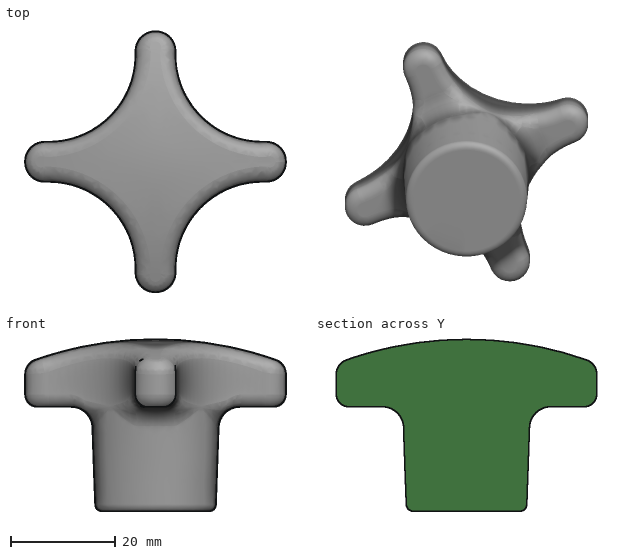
import cadquery as cq
import math

SPAN = 50.0
TOTAL_HEIGHT = 33.0

ARM_COUNT = 4
ARM_HALF_WIDTH = 3.85
TIP_STRAIGHT = 0.75
ARM_UNDERSIDE_Z = 20.0
CROWN_RADIUS = 69.0
TOP_EDGE_RADIUS = 3.0
UNDERSIDE_EDGE_RADIUS = 2.4

HUB_BASE_RADIUS = 11.55
HUB_DRAFT = 2.0
HUB_BASE_EDGE_RADIUS = 1.4
NECK_RADIUS = 4.0
NECK_OVERLAP = 0.003

TIP_CENTRE = SPAN / 2 - ARM_HALF_WIDTH
WAIST_CENTRE = TIP_CENTRE - TIP_STRAIGHT
WAIST_RADIUS = WAIST_CENTRE - ARM_HALF_WIDTH
WAIST_CENTRE_DISTANCE = WAIST_CENTRE * math.sqrt(2)
QUARTER_ANGLE = 2 * math.pi / ARM_COUNT
WAIST_ANGLE = QUARTER_ANGLE / 2

CUTTER_MARGIN = 1.0
PRISM_DEPTH = 7.0
PRISM_BASE_Z = ARM_UNDERSIDE_Z - PRISM_DEPTH
CUTTER_BASE_Z = PRISM_BASE_Z - CUTTER_MARGIN
CUTTER_BASE_RADIUS = HUB_BASE_RADIUS - CUTTER_MARGIN
CUTTER_REACH = SPAN / 2 + CUTTER_MARGIN
LOFT_STEPS = 9

RIM_HEIGHT_TOLERANCE = 0.1
SEAM_TOLERANCE = 0.01


def hub_radius(z):
    return HUB_BASE_RADIUS + z * math.tan(math.radians(HUB_DRAFT))


def neck_centre_radius(z):
    """Distance from the axis to the centre of a neck round centred at height z."""
    return hub_radius(z) - NECK_OVERLAP + NECK_RADIUS


NECK_OUTER_RADIUS = neck_centre_radius(ARM_UNDERSIDE_Z - NECK_RADIUS)


def turned(x, y, quarter):
    """Point (x, y) turned about the Z axis by a number of quarter turns."""
    cos_turn = math.cos(quarter * QUARTER_ANGLE)
    sin_turn = math.sin(quarter * QUARTER_ANGLE)
    return (x * cos_turn - y * sin_turn, x * sin_turn + y * cos_turn)


def star_outline():
    """Closed outline of the four arms, placed at the base of the prism."""
    waist_middle = (WAIST_CENTRE_DISTANCE - WAIST_RADIUS) * math.sqrt(0.5)
    outline = cq.Workplane("XY", origin=(0, 0, PRISM_BASE_Z))
    outline = outline.moveTo(WAIST_CENTRE, -ARM_HALF_WIDTH)
    for quarter in range(ARM_COUNT):
        outline = outline.lineTo(*turned(TIP_CENTRE, -ARM_HALF_WIDTH, quarter))
        outline = outline.threePointArc(
            turned(SPAN / 2, 0, quarter),
            turned(TIP_CENTRE, ARM_HALF_WIDTH, quarter),
        )
        outline = outline.lineTo(*turned(WAIST_CENTRE, ARM_HALF_WIDTH, quarter))
        outline = outline.threePointArc(
            turned(waist_middle, waist_middle, quarter),
            turned(ARM_HALF_WIDTH, WAIST_CENTRE, quarter),
        )
    return outline.close()


def star_prism():
    """Four-armed prism with a crowned top and rounded top edges."""
    prism = star_outline().extrude(TOTAL_HEIGHT - PRISM_BASE_Z)
    crown = cq.Workplane("XY", origin=(0, 0, TOTAL_HEIGHT - CROWN_RADIUS)).sphere(CROWN_RADIUS)
    prism = prism.intersect(crown)
    return prism.faces(">Z").edges().fillet(TOP_EDGE_RADIUS)


def hub():
    """Tapered hub with a rounded base edge."""
    cone = cq.Solid.makeCone(HUB_BASE_RADIUS, hub_radius(ARM_UNDERSIDE_Z), ARM_UNDERSIDE_Z)
    return cq.Workplane("XY").add(cone).faces("<Z").edges().fillet(HUB_BASE_EDGE_RADIUS)


def waist_distance(angle):
    """Distance from the axis to the waist arc, along a ray at this angle from an arm."""
    along = WAIST_CENTRE_DISTANCE * math.cos(WAIST_ANGLE - angle)
    return along - math.sqrt(along**2 - WAIST_CENTRE_DISTANCE**2 + WAIST_RADIUS**2)


def neck_start_angle():
    """Angle from an arm at which the waist arc cuts into the full neck round."""
    cosine = (NECK_OUTER_RADIUS**2 + WAIST_CENTRE_DISTANCE**2 - WAIST_RADIUS**2) / (
        2 * NECK_OUTER_RADIUS * WAIST_CENTRE_DISTANCE
    )
    return WAIST_ANGLE - math.acos(cosine)


def neck_drop(angle):
    """Depth below the underside of the centre of a neck round that ends on the waist edge.

    The round touches the sloping hub and passes through the edge, which gives a
    quadratic equation for the depth.
    """
    slope = math.tan(math.radians(HUB_DRAFT))
    overhang = neck_centre_radius(ARM_UNDERSIDE_Z) - waist_distance(angle)
    square_term = 1 + slope**2
    half_linear_term = overhang * slope
    constant_term = overhang**2 - NECK_RADIUS**2
    root = math.sqrt(half_linear_term**2 - square_term * constant_term)
    return (half_linear_term + root) / square_term


def cutter_profile(angle, drop):
    """Space around the hub and under the arms, in the half plane at this angle."""
    half_plane = cq.Plane(
        origin=(0, 0, 0),
        xDir=(math.cos(angle), math.sin(angle), 0),
        normal=(math.sin(angle), -math.cos(angle), 0),
    )
    centre_z = ARM_UNDERSIDE_Z - drop
    centre_radius = neck_centre_radius(centre_z)
    top_z = centre_z + NECK_RADIUS
    arc_offset = NECK_RADIUS * math.sqrt(0.5)
    return (
        cq.Workplane(half_plane)
        .moveTo(CUTTER_BASE_RADIUS, CUTTER_BASE_Z)
        .lineTo(centre_radius - NECK_RADIUS, centre_z)
        .threePointArc(
            (centre_radius - arc_offset, centre_z + arc_offset),
            (centre_radius, top_z),
        )
        .lineTo(CUTTER_REACH, top_z)
        .lineTo(CUTTER_REACH, CUTTER_BASE_Z)
        .close()
    )


def underside_cutters():
    """Tools for the underside of the +X arm: the flat middle and the two rising sides."""
    start = neck_start_angle()
    middle = cutter_profile(-start, NECK_RADIUS).revolve(
        2 * math.degrees(start), (0, 0, 0), (0, 1, 0)
    )
    sections = []
    for step in range(LOFT_STEPS + 1):
        angle = start + (WAIST_ANGLE - start) * step / LOFT_STEPS
        sections.append(cutter_profile(angle, neck_drop(angle)).val())
    side = cq.Workplane("XY").add(cq.Solid.makeLoft(sections))
    return [middle, side, side.mirror("XZ")]


def carve_underside(body):
    """Shape the flat underside of every arm and the neck round that meets the hub."""
    cutters = underside_cutters()
    for quarter in range(ARM_COUNT):
        turn = math.degrees(quarter * QUARTER_ANGLE)
        for cutter in cutters:
            body = body.cut(cutter.rotate((0, 0, 0), (0, 0, 1), turn))
    return body


def is_lower_rim(edge):
    """True for edges between the side walls and the underside, not for seams or the hub."""
    box = edge.BoundingBox()
    lowest_gap = abs(box.zmin - ARM_UNDERSIDE_Z)
    highest_gap = abs(box.zmax - ARM_UNDERSIDE_Z)
    point = edge.positionAt(0.5)
    distance = math.hypot(point.x, point.y)
    is_level = max(lowest_gap, highest_gap) < RIM_HEIGHT_TOLERANCE
    is_neck_seam = abs(distance - NECK_OUTER_RADIUS) < SEAM_TOLERANCE
    return is_level and not is_neck_seam and distance > hub_radius(ARM_UNDERSIDE_Z)


def round_lower_rim(body):
    rim = [edge for edge in body.edges().vals() if is_lower_rim(edge)]
    return body.newObject(rim).fillet(UNDERSIDE_EDGE_RADIUS)


knob = carve_underside(star_prism()).union(hub())
result = round_lower_rim(knob).solids()